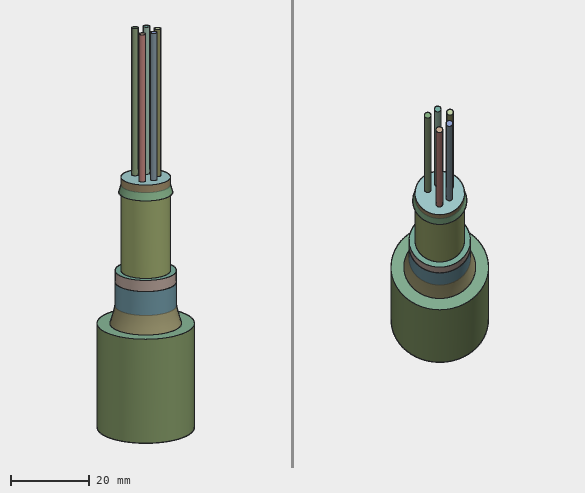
import cadquery as cq
import math

HOUSING_TOP = 28.2
FLARE_TOP = 33.1
NECK_TOP = 39.6
NECK_CAP_TOP = 42.6
BARB_BOTTOM = 63.8
BARB_TOP = 65.9
SLEEVE_TOP = 67.9
WIRE_TOP = 107.8

HOUSING_DIAMETER = 25.0
FLARE_BASE_DIAMETER = 18.4
NECK_DIAMETER = 15.8
NECK_CAP_DIAMETER = 15.7
SLEEVE_DIAMETER = 12.7
BARB_DIAMETER = 13.9
WIRE_DIAMETER = 1.7

FLARE_HOLLOW = 0.1

WIRE_SIDE_OFFSET = 2.6
END_WIRE_Y = 3.2
UPPER_ROW_Y = 1.2
LOWER_ROW_Y = -1.9


def cylinder(diameter, bottom, top):
    """Upright cylinder on the Z axis between two heights."""
    return cq.Workplane("XY").workplane(offset=bottom).circle(diameter / 2).extrude(top - bottom)


def make_flare():
    """Concave skirt that widens from the neck down to the housing."""
    top_radius = NECK_DIAMETER / 2
    base_radius = FLARE_BASE_DIAMETER / 2
    height = FLARE_TOP - HOUSING_TOP
    side_length = math.hypot(base_radius - top_radius, height)
    middle_radius = (top_radius + base_radius) / 2 - FLARE_HOLLOW * height / side_length
    middle_height = (
        (HOUSING_TOP + FLARE_TOP) / 2 - FLARE_HOLLOW * (base_radius - top_radius) / side_length
    )
    return (
        cq.Workplane("XZ")
        .moveTo(0, HOUSING_TOP)
        .lineTo(base_radius, HOUSING_TOP)
        .threePointArc((middle_radius, middle_height), (top_radius, FLARE_TOP))
        .lineTo(0, FLARE_TOP)
        .close()
        .revolve(360, (0, 0), (0, 1))
    )


def make_barb():
    """Conical ring around the sleeve, with its wide flat side facing down."""
    return (
        cq.Workplane("XZ")
        .moveTo(0, BARB_BOTTOM)
        .lineTo(BARB_DIAMETER / 2, BARB_BOTTOM)
        .lineTo(SLEEVE_DIAMETER / 2, BARB_TOP)
        .lineTo(0, BARB_TOP)
        .close()
        .revolve(360, (0, 0), (0, 1))
    )


def make_wires():
    """Five straight wires standing on the end of the sleeve."""
    centres = [(0, END_WIRE_Y)]
    for row_y in (UPPER_ROW_Y, LOWER_ROW_Y):
        for side in (-1, 1):
            centres.append((side * WIRE_SIDE_OFFSET, row_y))
    return (
        cq.Workplane("XY")
        .workplane(offset=SLEEVE_TOP)
        .pushPoints(centres)
        .circle(WIRE_DIAMETER / 2)
        .extrude(WIRE_TOP - SLEEVE_TOP)
    )


housing = cylinder(HOUSING_DIAMETER, 0, HOUSING_TOP)
neck = cylinder(NECK_DIAMETER, FLARE_TOP, NECK_TOP)
neck_cap = cylinder(NECK_CAP_DIAMETER, NECK_TOP, NECK_CAP_TOP)
sleeve = cylinder(SLEEVE_DIAMETER, NECK_CAP_TOP, SLEEVE_TOP)

result = (
    housing.union(make_flare())
    .union(neck)
    .union(neck_cap)
    .union(sleeve)
    .union(make_barb())
    .union(make_wires())
)